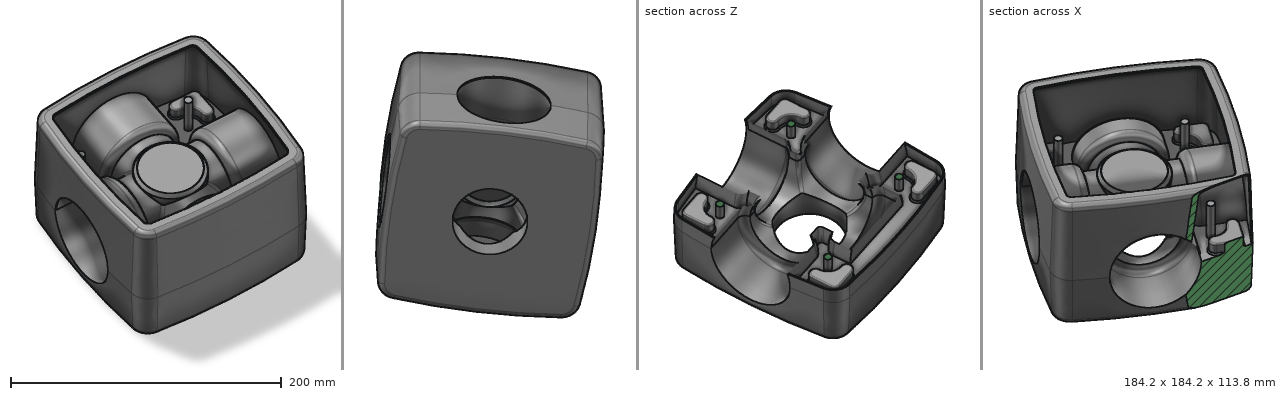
import cadquery as cq
import math

turn_angle = -17.2
top_z = 69.5
bottom_z = -44.25
half_width = 80.2
side_radius = 570.0
corner_radius = 16.0
wall_draft = 1.9
edge_radius = 5.0

wall = 1.5
mouth_half_width = 66.8
mouth_corner_radius = 4.0
mouth_chamfer = 0.5

socket_radius = 35.05
neck_radius = 28.4
shoulder_start = 36.9
blind_end = 59.2
blind_end_radius = 228.0
drum_radius = 27.7
drum_bevel = 3.0
drum_top = 31.5
valley_radius = 3.0
skin = 0.4
reach = 100.0

post_offset = 47.75
post_radius = 3.2
post_height = drum_top
pad_height = 10.0
pad_edge = 1.2
pad_clearance = 11.6
pad_end_radius = 4.9


def bulged_square(half, radius, corner):
    """Square outline with outward arcs of the given radius as sides and tangent corner arcs."""
    drop = radius - half
    centre = (math.sqrt(2 * (radius - corner) ** 2 - drop**2) - drop) / 2
    lean = math.atan2(centre, centre + drop)
    near = centre + corner * math.sin(lean)
    far = centre + corner * math.cos(lean)
    middle = centre + corner * math.sqrt(0.5)
    return (
        cq.Workplane("XY")
        .moveTo(-near, far)
        .threePointArc((0, half), (near, far))
        .threePointArc((middle, middle), (far, near))
        .threePointArc((half, 0), (far, -near))
        .threePointArc((middle, -middle), (near, -far))
        .threePointArc((0, -half), (-near, -far))
        .threePointArc((-middle, -middle), (-far, -near))
        .threePointArc((-half, 0), (-far, near))
        .threePointArc((-middle, middle), (-near, far))
        .close()
    )


def half_block(inset, height):
    """Block from the parting plane to a signed height, drafted inwards, with a rounded end."""
    outline = bulged_square(half_width - inset, side_radius - inset, corner_radius - inset)
    block = outline.extrude(abs(height) - inset, taper=wall_draft)
    block = block.faces(">Z").edges().fillet(edge_radius - inset)
    return block if height > 0 else block.mirror("XY")


def mouth():
    """Opening through the top lip, with a small chamfer on its upper edge."""
    radius = side_radius - half_width + mouth_half_width
    depth = top_z / 2
    opening = bulged_square(mouth_half_width, radius, mouth_corner_radius).extrude(depth)
    flare = bulged_square(
        mouth_half_width + mouth_chamfer, radius + mouth_chamfer, mouth_corner_radius + mouth_chamfer
    ).extrude(mouth_chamfer, taper=45)
    flare = flare.mirror("XY").translate((0, 0, top_z))
    return opening.translate((0, 0, top_z - depth)).union(flare)


def socket(offset):
    """Neck, round shoulder and socket along +X, grown by an offset."""
    neck = neck_radius + offset
    outer = socket_radius + offset
    start = shoulder_start - offset
    round_radius = outer - neck
    sag = round_radius * math.sqrt(0.5)
    return (
        cq.Workplane("XZ")
        .lineTo(0, neck)
        .lineTo(start, neck)
        .threePointArc((start + round_radius - sag, neck + sag), (start + round_radius, outer))
        .lineTo(reach, outer)
        .lineTo(reach, 0)
        .close()
        .revolve(360, (0, 0, 0), (1, 0, 0))
    )


def blind_socket(offset):
    """Socket closed by a gently curved end that leans in above and below the axis."""
    end_radius = blind_end_radius + offset
    stop = (
        cq.Workplane("XZ")
        .center(blind_end - blind_end_radius, 0)
        .circle(end_radius)
        .extrude(reach, both=True)
    )
    return socket(offset).intersect(stop)


def drum(offset):
    """Upright centre drum, bevelled at both ends."""
    height = 2 * (drum_top + offset)
    body = cq.Workplane("XY").circle(drum_radius + offset).extrude(height / 2, both=True)
    return body.faces("|Z").edges().chamfer(drum_bevel)


def bottom_bore():
    """Round opening from the drum through the underside."""
    return cq.Workplane("XY").circle(drum_radius).extrude(bottom_z)


def round_valleys(body):
    """Round the four upright valleys between neighbouring necks, just outside the drum."""
    near = drum_radius * math.sqrt(0.5)
    valleys = []
    for side_x in (-1, 1):
        for side_y in (-1, 1):
            corner = cq.selectors.BoxSelector(
                (side_x * near, side_y * near, -neck_radius),
                (side_x * neck_radius, side_y * neck_radius, neck_radius),
            )
            valleys += body.edges("%ELLIPSE").edges(corner).vals()
    return body.newObject(valleys).fillet(valley_radius)


def valve(offset):
    """Passage with open sockets on -X, -Y and +Y and a blind socket on +X."""
    body = drum(offset).union(blind_socket(offset))
    for angle in (90, 180, 270):
        body = body.union(socket(offset).rotate((0, 0, 0), (0, 0, 1), angle))
    return round_valleys(body)


def pad_outline(growth):
    """Angled bar around the post in the +X +Y corner, with round ends, grown by an offset."""
    end_radius = pad_end_radius + growth
    clearance = pad_clearance - growth
    inner = post_offset + clearance
    bend = post_offset + clearance * math.sqrt(0.5)
    middle = inner + end_radius
    outer = middle + end_radius
    tip = post_offset - end_radius
    return (
        cq.Workplane("XY")
        .moveTo(post_offset, outer)
        .threePointArc((tip, middle), (post_offset, inner))
        .threePointArc((bend, bend), (inner, post_offset))
        .threePointArc((middle, tip), (outer, post_offset))
        .lineTo(outer, middle)
        .tangentArcPoint((middle, outer), relative=False)
        .close()
    )


def corner_pad():
    """Pad with a rounded top edge and a flared foot."""
    pad = pad_outline(0).extrude(pad_height).faces(">Z").edges().fillet(pad_edge)
    foot = pad_outline(pad_edge).extrude(pad_edge, taper=45)
    return pad.union(foot)


def corner_posts():
    """Four round posts standing on the chamber floor."""
    return (
        cq.Workplane("XY")
        .rect(2 * post_offset, 2 * post_offset, forConstruction=True)
        .vertices()
        .circle(post_radius)
        .extrude(post_height)
    )


upper_block = half_block(0, top_z)
housing = upper_block.union(half_block(0, bottom_z))
housing = housing.cut(half_block(wall, top_z)).cut(mouth())

inside = valve(skin / 2).union(corner_posts())
for turn in range(4):
    inside = inside.union(corner_pad().rotate((0, 0, 0), (0, 0, 1), 90 * turn))
housing = housing.union(inside.intersect(upper_block))
housing = housing.cut(valve(-skin / 2)).cut(bottom_bore())

result = housing.rotate((0, 0, 0), (0, 0, 1), turn_angle)